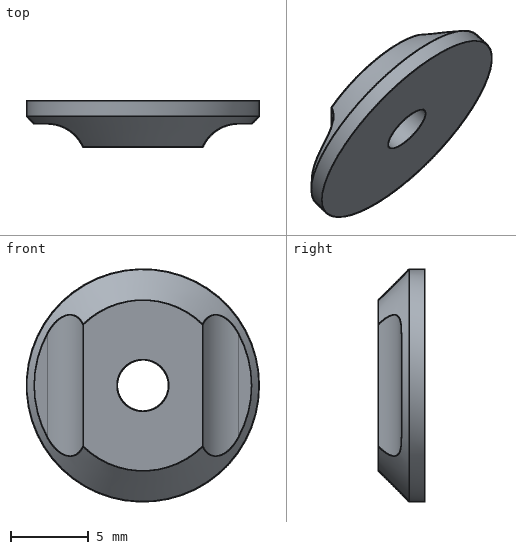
import cadquery as cq
import math

outer_radius = 7.5
thickness = 3.0
rim_thickness = 1.0
hole_diameter = 3.3
relief_depth = 1.5
relief_radius = 2.5
relief_floor_start = 6.15

front_radius = outer_radius - (thickness - rim_thickness)
front_y = -thickness
floor_y = front_y + relief_depth


def make_disc():
    """Rimmed disc with a conical front, revolved about Y."""
    profile = (
        cq.Workplane("XY")
        .moveTo(0, 0)
        .lineTo(outer_radius, 0)
        .lineTo(outer_radius, -rim_thickness)
        .lineTo(front_radius, front_y)
        .lineTo(0, front_y)
        .close()
    )
    return profile.revolve(360, (0, 0, 0), (0, 1, 0))


def make_side_relief():
    """Cutter for the +X side: a concave wall running tangent into a flat floor."""
    arc_center_y = floor_y - relief_radius
    wall_sweep = math.acos((front_y - arc_center_y) / relief_radius)
    wall_start_x = relief_floor_start - relief_radius * math.sin(wall_sweep)
    arc_middle = (
        relief_floor_start - relief_radius * math.sin(wall_sweep / 2),
        arc_center_y + relief_radius * math.cos(wall_sweep / 2),
    )
    return (
        cq.Workplane("XY")
        .moveTo(wall_start_x, front_y)
        .threePointArc(arc_middle, (relief_floor_start, floor_y))
        .lineTo(outer_radius, floor_y)
        .lineTo(outer_radius, front_y)
        .close()
        .extrude(outer_radius, both=True)
    )


def make_center_hole():
    """Cutter for the through hole along the axis."""
    return cq.Workplane("XZ").circle(hole_diameter / 2).extrude(thickness)


side_relief = make_side_relief()
result = (
    make_disc()
    .cut(side_relief)
    .cut(side_relief.mirror("YZ"))
    .cut(make_center_hole())
)